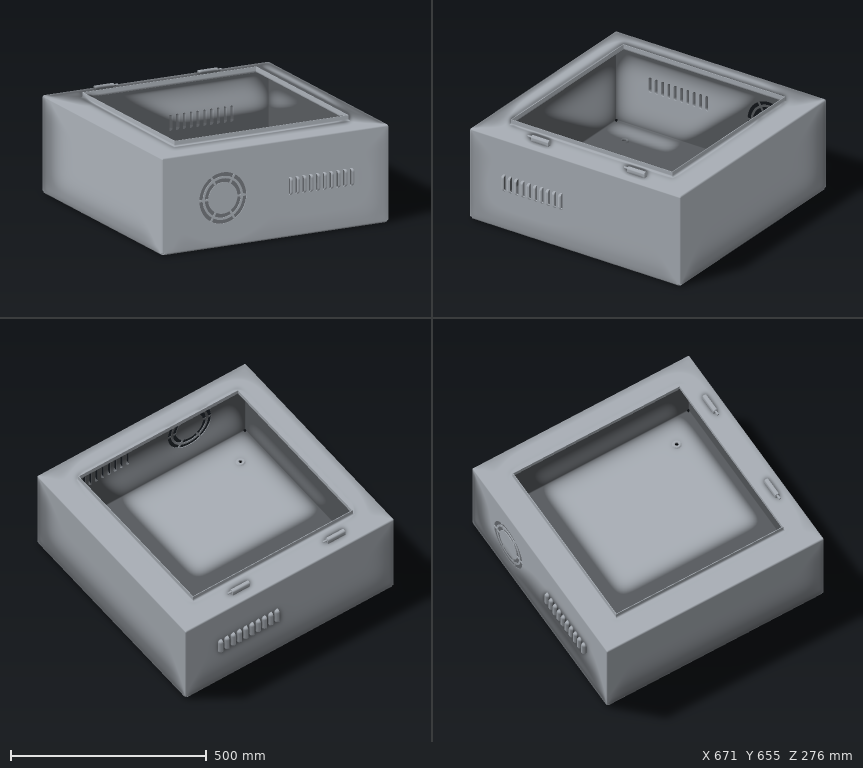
import cadquery as cq

overall_width = 671.0
body_width = 652.0
body_depth = 655.0
body_height = 261.0
overall_height = 276.0
sheet = 1.7
bend_radius = 5.5
corner_radius = 3.0

lip_size = 503.0
lip_bend_radius = 5.5

relief_size = 7.0

louver_count = 10
louver_row_length = 177.0
louver_pitch = louver_row_length / (louver_count - 1)
louver_width = 11.0
louver_height = 46.0
louver_bend_radius = 8.0
louver_centre_y = 133.0
louver_centre_z = 136.0
louver_depth = (overall_width - body_width) / 2

fan_y = -151.5
fan_z = body_height / 2
grille_radii = (47.0, 63.0)
grille_slot = 10.0
rib_count = 6
rib_width = 5.5

hinge_inset = 35.5
hinge_x = hinge_inset - body_width / 2
hinge_ends_y = (104.5, -195.0)
hinge_length = 53.5
hinge_width = 12.0
pin_diameter = 5.5
pin_length = 13.0
hinge_axis_z = overall_height - hinge_width / 2

mount_x = 243.0
mount_ys = (243.5, -253.0)
mount_base_radius = 13.5
mount_top_radius = 10.0
mount_height = 3.5
mount_hole_diameter = 10.0


def box_on(width, depth, bottom, top):
    """Box centred on the Z axis between two heights."""
    return cq.Workplane("XY", origin=(0, 0, bottom)).rect(width, depth).extrude(top - bottom)


def rounded_block(inset, bend, corner, lip_bend):
    """Body with lip, shrunk by an inset on every side except the open top of the lip."""
    top = body_height - inset
    block = box_on(body_width - 2 * inset, body_depth - 2 * inset, inset, top)
    block = block.edges("|Z").fillet(corner)
    block = block.faces("<Z or >Z").edges().fillet(bend)
    lip_side = lip_size - 2 * inset
    lip = box_on(lip_side, lip_side, body_height / 2, overall_height)
    reach = lip_size / 2 + sheet
    joint = cq.selectors.BoxSelector(
        (-reach, -reach, top - sheet / 2),
        (reach, reach, top + sheet / 2),
    )
    return block.union(lip).edges(joint).fillet(lip_bend)


def louver_block(inset):
    """Louver bulge in the -X wall, shrunk by an inset but reaching the mouth plane."""
    depth = louver_depth - inset + sheet
    width = louver_width - inset
    height = louver_height - 2 * inset
    block = cq.Workplane("XY").box(depth, width, height, centered=(False, False, True))
    block = block.edges("(<X and (not <Y)) or (>Y and |X)").fillet(louver_bend_radius - inset)
    return block.translate((inset - overall_width / 2, -louver_width / 2, louver_centre_z))


def all_louvers(block):
    """The block repeated as a row on the -X wall and its mirror image on the +X wall."""
    row = cq.Workplane("XY")
    for i in range(louver_count):
        offset = (i - (louver_count - 1) / 2) * louver_pitch
        row = row.add(block.translate((0, louver_centre_y + offset, 0)))
    return row.add(row.mirror("YZ")).combine()


def fan_grille():
    """Cutter for the ring slots, left solid where the ribs cross them."""
    wall_plane = cq.Workplane("YZ", origin=(body_width / 2 - 2 * sheet, fan_y, fan_z))
    cut_depth = 3 * sheet
    slots = cq.Workplane("XY")
    for radius in grille_radii:
        ring = wall_plane.circle(radius + grille_slot / 2).circle(radius - grille_slot / 2)
        slots = slots.add(ring.extrude(cut_depth))
    slots = slots.combine()
    outer_diameter = 2 * max(grille_radii) + 2 * grille_slot
    for i in range(rib_count // 2):
        rib = wall_plane.transformed(rotate=(0, 0, i * 360 / rib_count))
        slots = slots.cut(rib.rect(outer_diameter, rib_width).extrude(cut_depth))
    return slots


def hinge(end_y):
    """Round-topped knuckle with a pin; end_y is its -Y end."""
    half = hinge_width / 2
    start = body_height - sheet / 2
    knuckle = (
        cq.Workplane("XZ", origin=(hinge_x, end_y, 0))
        .moveTo(-half, start)
        .lineTo(-half, hinge_axis_z)
        .threePointArc((0, overall_height), (half, hinge_axis_z))
        .lineTo(half, start)
        .close()
        .extrude(-hinge_length)
    )
    pin = (
        cq.Workplane("XZ", origin=(hinge_x, end_y + hinge_length, hinge_axis_z))
        .circle(pin_diameter / 2)
        .extrude(-pin_length)
    )
    return knuckle.union(pin)


def mount_boss(x, y):
    """Tapered boss rising from the floor, rooted halfway into the sheet."""
    return (
        cq.Workplane("XY", origin=(x, y, sheet / 2))
        .circle(mount_base_radius)
        .workplane(offset=mount_height + sheet / 2)
        .circle(mount_top_radius)
        .loft()
    )


shell = rounded_block(0, bend_radius, corner_radius, lip_bend_radius).cut(
    rounded_block(sheet, bend_radius - sheet, corner_radius - sheet, lip_bend_radius + sheet)
)

reliefs = (
    cq.Workplane("XY")
    .rect(body_width - relief_size, body_depth - relief_size, forConstruction=True)
    .vertices()
    .rect(relief_size, relief_size)
    .extrude(relief_size)
)
shell = shell.cut(reliefs)

shell = shell.union(all_louvers(louver_block(0))).cut(all_louvers(louver_block(sheet)))
shell = shell.cut(fan_grille())

for end_y in hinge_ends_y:
    shell = shell.union(hinge(end_y))

mount_points = [(side * mount_x, y) for side in (-1, 1) for y in mount_ys]
for x, y in mount_points:
    shell = shell.union(mount_boss(x, y))
mount_holes = cq.Workplane("XY").pushPoints(mount_points).circle(mount_hole_diameter / 2)
shell = shell.cut(mount_holes.extrude(sheet + mount_height))

result = shell